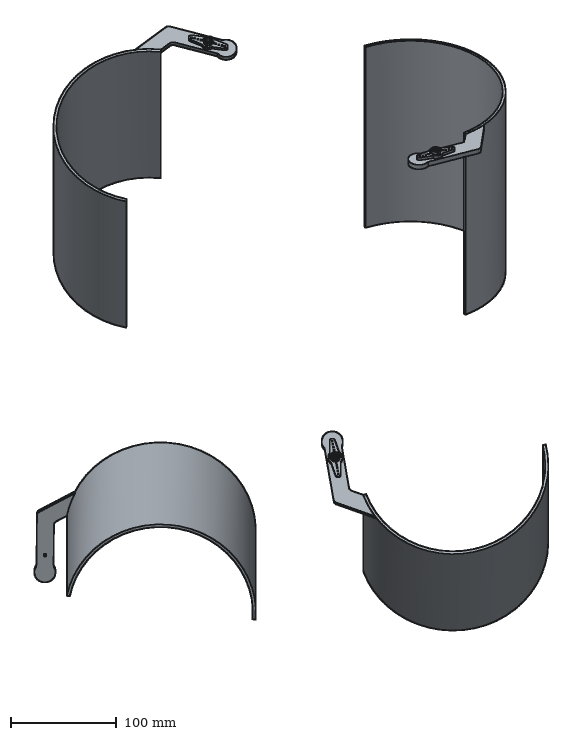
import cadquery as cq
import math

SLEEVE_RADIUS = 90.3
SLEEVE_WALL = 3.0
SLEEVE_HEIGHT = 204.5
SLEEVE_START = 153.5
SLEEVE_END = 327.2

ARM_THICKNESS = 5.0
ARM_WIDTH = 16.5
ARM_ANGLE = 53.2
ARM_BEND = 60.0
BEND_FILLET = 4.2
PAD_RADIUS = 10.0
PIVOT_X, PIVOT_Y = -72.5, 84.8
PIVOT_TO_PAD = 17.7
PIVOT_TO_BEND = 38.3
INNER_LEG_LENGTH = 63.1

HORN_THICKNESS = 3.0
HORN_REACH = 16.6
HORN_TIP_RADIUS = 2.7
HORN_ROOT_RADIUS = 5.3
HORN_DISC_RADIUS = 6.7
HORN_HOLE_RADIUS = 0.53
HORN_INNER_HOLE = 7.5
HORN_HOLES_PER_BLADE = 4
HUB_RADIUS = 4.5
HUB_HEIGHT = 3.0
GUSSET_REACH = 1.7
GUSSET_HEIGHT = 2.5
GUSSET_WIDTH = 1.0
GUSSET_COUNT = 4

BUSHING_RADIUS = 3.0
BUSHING_RECESS_RADIUS = 1.7
BUSHING_RECESS_DEPTH = 4.2
SHAFT_HOLE_RADIUS = 1.3


def polar(radius, degrees):
    angle = math.radians(degrees)
    return radius * math.cos(angle), radius * math.sin(angle)


def at_pivot(shape, height):
    """Turn a shape drawn along +X onto the outer leg's axis and set it on the pivot."""
    turned = shape.rotate((0, 0, 0), (0, 0, 1), ARM_ANGLE)
    return turned.translate((PIVOT_X, PIVOT_Y, height))


def make_sleeve():
    middle = (SLEEVE_START + SLEEVE_END) / 2
    inner_radius = SLEEVE_RADIUS - SLEEVE_WALL
    return (
        cq.Workplane("XY")
        .moveTo(*polar(SLEEVE_RADIUS, SLEEVE_START))
        .threePointArc(polar(SLEEVE_RADIUS, middle), polar(SLEEVE_RADIUS, SLEEVE_END))
        .lineTo(*polar(inner_radius, SLEEVE_END))
        .threePointArc(polar(inner_radius, middle), polar(inner_radius, SLEEVE_START))
        .close()
        .extrude(SLEEVE_HEIGHT)
    )


def make_arm():
    half_width = ARM_WIDTH / 2
    miter = half_width * math.tan(math.radians(ARM_BEND / 2))
    leg_x, leg_y = polar(INNER_LEG_LENGTH, ARM_BEND - 180)
    side_x, side_y = polar(half_width, ARM_BEND + 90)
    strip = (
        cq.Workplane("XY")
        .moveTo(PIVOT_TO_PAD, half_width)
        .lineTo(-PIVOT_TO_BEND - miter, half_width)
        .lineTo(-PIVOT_TO_BEND + leg_x + side_x, leg_y + side_y)
        .lineTo(-PIVOT_TO_BEND + leg_x - side_x, leg_y - side_y)
        .lineTo(-PIVOT_TO_BEND + miter, -half_width)
        .lineTo(PIVOT_TO_PAD, -half_width)
        .close()
        .extrude(ARM_THICKNESS)
    )
    bend_box = cq.selectors.BoxSelector(
        (-PIVOT_TO_BEND - ARM_WIDTH, -ARM_WIDTH, 0),
        (-PIVOT_TO_BEND + ARM_WIDTH, ARM_WIDTH, ARM_THICKNESS),
    )
    strip = strip.edges("|Z").edges(bend_box).fillet(BEND_FILLET)
    pad = cq.Workplane("XY").center(PIVOT_TO_PAD, 0).circle(PAD_RADIUS).extrude(ARM_THICKNESS)
    shaft_hole = cq.Workplane("XY").circle(SHAFT_HOLE_RADIUS).extrude(ARM_THICKNESS)
    arm = at_pivot(strip.union(pad).cut(shaft_hole), SLEEVE_HEIGHT - ARM_THICKNESS)
    sleeve_envelope = cq.Workplane("XY").circle(SLEEVE_RADIUS).extrude(SLEEVE_HEIGHT)
    return arm.cut(sleeve_envelope)


def make_gusset():
    """A triangular rib along +X, from inside the hub wall down to the top of the disc."""
    root = (HUB_RADIUS + BUSHING_RADIUS) / 2
    return (
        cq.Workplane("XZ")
        .moveTo(root, HORN_THICKNESS)
        .lineTo(HUB_RADIUS + GUSSET_REACH, HORN_THICKNESS)
        .lineTo(HUB_RADIUS, HORN_THICKNESS + GUSSET_HEIGHT)
        .lineTo(root, HORN_THICKNESS + GUSSET_HEIGHT)
        .close()
        .extrude(GUSSET_WIDTH / 2, both=True)
    )


def make_horn():
    flank = math.degrees(math.acos((HORN_ROOT_RADIUS - HORN_TIP_RADIUS) / HORN_REACH))
    root_x, root_y = polar(HORN_ROOT_RADIUS, flank)
    touch_x, touch_y = polar(HORN_TIP_RADIUS, flank)
    tip_x = HORN_REACH + touch_x
    tip_end = HORN_REACH + HORN_TIP_RADIUS
    blades = (
        cq.Workplane("XY")
        .moveTo(root_x, root_y)
        .lineTo(tip_x, touch_y)
        .threePointArc((tip_end, 0), (tip_x, -touch_y))
        .lineTo(root_x, -root_y)
        .lineTo(-root_x, -root_y)
        .lineTo(-tip_x, -touch_y)
        .threePointArc((-tip_end, 0), (-tip_x, touch_y))
        .lineTo(-root_x, root_y)
        .close()
        .extrude(HORN_THICKNESS)
    )
    disc = cq.Workplane("XY").circle(HORN_DISC_RADIUS).extrude(HORN_THICKNESS)
    hole_pitch = (HORN_REACH - HORN_INNER_HOLE) / (HORN_HOLES_PER_BLADE - 1)
    hole_spots = [
        (side * (HORN_INNER_HOLE + i * hole_pitch), 0)
        for side in (1, -1)
        for i in range(HORN_HOLES_PER_BLADE)
    ]
    holes = cq.Workplane("XY").pushPoints(hole_spots).circle(HORN_HOLE_RADIUS).extrude(HORN_THICKNESS)
    hub = cq.Workplane("XY").circle(HUB_RADIUS).extrude(HORN_THICKNESS + HUB_HEIGHT)
    bore = cq.Workplane("XY").circle(BUSHING_RADIUS).extrude(HORN_THICKNESS + HUB_HEIGHT)
    horn = blades.union(disc).cut(holes).union(hub)
    for i in range(GUSSET_COUNT):
        horn = horn.union(make_gusset().rotate((0, 0, 0), (0, 0, 1), i * 360 / GUSSET_COUNT))
    return at_pivot(horn.cut(bore), SLEEVE_HEIGHT)


def make_bushing():
    height = HORN_THICKNESS + HUB_HEIGHT
    ring = cq.Workplane("XY").circle(BUSHING_RADIUS).circle(SHAFT_HOLE_RADIUS).extrude(height)
    recess = (
        cq.Workplane("XY")
        .workplane(offset=height - BUSHING_RECESS_DEPTH)
        .circle(BUSHING_RECESS_RADIUS)
        .extrude(BUSHING_RECESS_DEPTH)
    )
    return at_pivot(ring.cut(recess), SLEEVE_HEIGHT)


sleeve = make_sleeve()
arm = make_arm()
horn = make_horn()
bushing = make_bushing()

result = cq.Compound.makeCompound([sleeve.val(), arm.val(), horn.val(), bushing.val()])